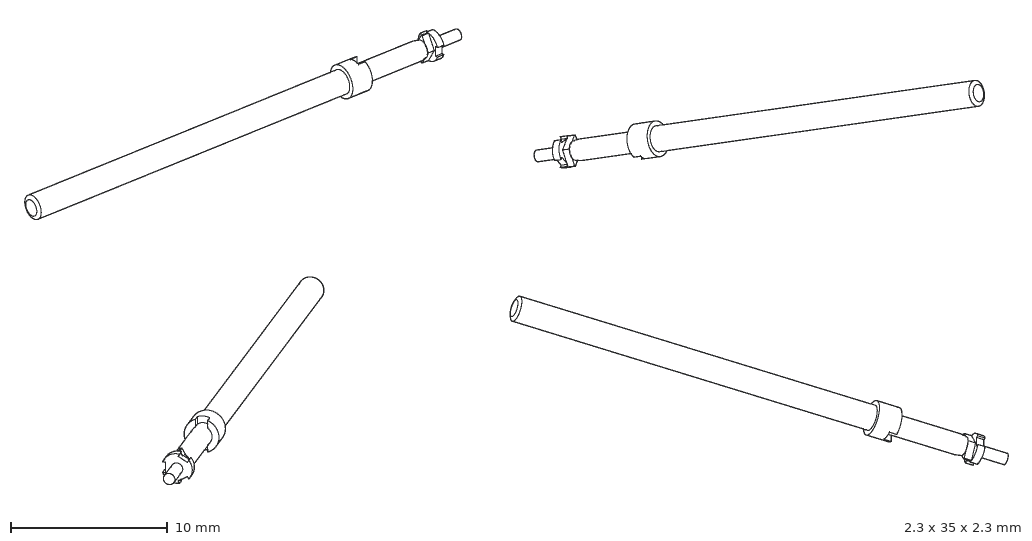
import cadquery as cq
import math

total_length = 35.0
tip_y = total_length / 2

pin_radius = 0.4
head_radius = 1.0
neck_radius = 0.63
plunger_radius = 0.7
collar_radius = 1.15
barrel_radius = 0.85

pin_length = 1.92
disc_thickness = 0.52
lug_thickness = 0.52
neck_taper_length = 0.42
plunger_length = 4.55
collar_length = 1.6
barrel_end_chamfer_length = 0.15
barrel_end_face_radius = 0.55

slot_count = 3
slot_width = 0.7
slot_floor_radius = 0.77

lug_half_width = 0.63
lug_tip_angle = 60.0

key_slot_width = 0.8
key_slot_depth = 0.52

disc_front = pin_length
disc_back = disc_front + disc_thickness
lug_back = disc_back + lug_thickness
taper_back = lug_back + neck_taper_length
collar_front = taper_back + plunger_length
collar_back = collar_front + collar_length


def plane_at(station):
    """Plane across the axis, facing the tail, with local X along X and local Y along Z."""
    return cq.Workplane("XZ", origin=(0, tip_y - station, 0))


def rod(radius, start, end):
    return plane_at(start).circle(radius).extrude(end - start)


def make_head_disc():
    disc = rod(head_radius, disc_front, disc_back)
    slot_depth = 2 * (head_radius - slot_floor_radius)
    slot = (
        plane_at(disc_front)
        .center(slot_floor_radius + slot_depth / 2, 0)
        .rect(slot_depth, slot_width)
        .extrude(disc_thickness)
    )
    for index in range(slot_count):
        disc = disc.cut(slot.rotate((0, 0, 0), (0, 1, 0), index * 360 / slot_count))
    return disc


def make_lug():
    half_height = lug_half_width / math.tan(math.radians(lug_tip_angle / 2))
    diamond = (
        plane_at(disc_back)
        .polyline([(lug_half_width, 0), (0, half_height), (-lug_half_width, 0), (0, -half_height)])
        .close()
        .extrude(lug_thickness)
    )
    return diamond.intersect(rod(head_radius, disc_back, lug_back))


def make_plunger():
    taper = (
        plane_at(lug_back)
        .circle(neck_radius)
        .workplane(offset=neck_taper_length)
        .circle(plunger_radius)
        .loft()
    )
    return taper.union(rod(plunger_radius, taper_back, collar_back))


def make_collar():
    collar = rod(collar_radius, collar_front, collar_back)
    key_slots = (
        plane_at(collar_front)
        .rect(key_slot_width, 2 * collar_radius)
        .extrude(key_slot_depth)
    )
    return collar.cut(key_slots)


def make_barrel():
    barrel = rod(barrel_radius, collar_back, total_length)
    return barrel.faces("<Y").chamfer(
        barrel_end_chamfer_length, barrel_radius - barrel_end_face_radius
    )


result = (
    rod(pin_radius, 0, disc_front)
    .union(make_head_disc())
    .union(make_lug())
    .union(make_plunger())
    .union(make_collar())
    .union(make_barrel())
)